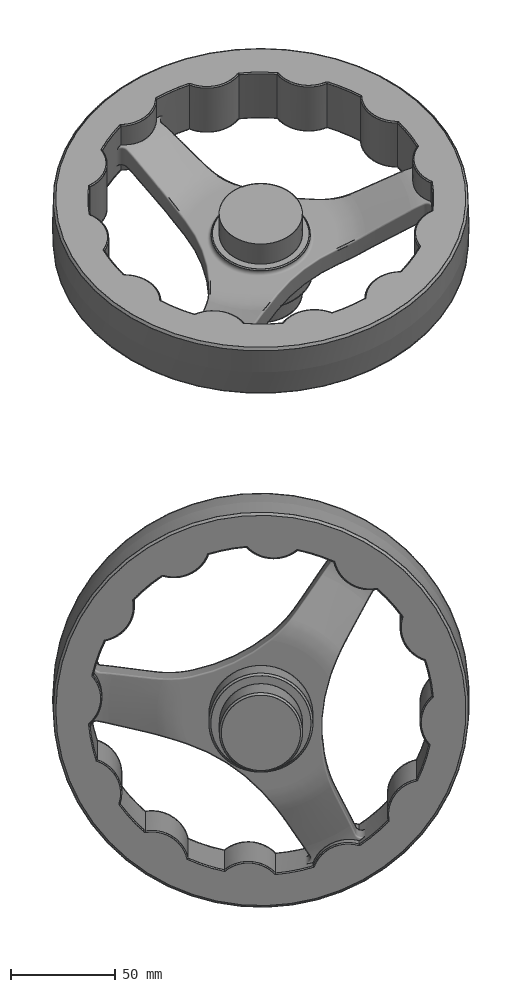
import cadquery as cq
import math

collar_bottom = 15.0
web_bottom = 28.0
rim_bottom = 35.0
rim_top = 67.0
hub_top = 42.0
plug_top = 56.0
rim_middle = (rim_bottom + rim_top) / 2

rim_radius = 100.0
rim_end_radius = 99.5
rim_chamfer = 1.2
valley_radius = 82.5
rim_inner_chamfer = 0.5

flute_count = 12
flute_pitch_radius = 188.5 / 2
flute_radius = 17.8

hub_radius = 47.5 / 2
hub_flare = 1.8
hub_chamfer = 0.5
collar_radius = 25.0
collar_chamfer = 1.0
pin_radius = 20.0
pin_chamfer = 1.0

spoke_count = 3
spoke_pitch = 360 / spoke_count
web_hub_thickness = 11.0
web_rim_thickness = 12.5
web_slope = 0.37
web_bend_inner_radius = 44.0
web_bend_outer_radius = 79.0
web_bend_fillet = 34.0
web_outer_radius = 86.0
web_edge_fillet = 0.8

opening_arc_radius = 175.5 / 2
opening_inner_reach = 29.5
opening_side_angle = math.degrees(math.atan(0.5))
opening_corner_radius = 3.0


def polar_point(radius, degrees):
    """Point at a distance and an angle from the wheel axis."""
    angle = math.radians(degrees)
    return (radius * math.cos(angle), radius * math.sin(angle))


def fluted_outline(height):
    """Closed outline of the rim's inner wall: valley arcs joined by inward bumps."""
    flute_pitch = 360 / flute_count
    corner_cosine = (valley_radius**2 + flute_pitch_radius**2 - flute_radius**2) / (
        2 * valley_radius * flute_pitch_radius
    )
    corner_angle = math.degrees(math.acos(corner_cosine))
    outline = cq.Workplane("XY", origin=(0, 0, height)).moveTo(*polar_point(valley_radius, -corner_angle))
    for i in range(flute_count):
        middle = i * flute_pitch
        flute_tip = polar_point(flute_pitch_radius - flute_radius, middle)
        outline = outline.threePointArc(flute_tip, polar_point(valley_radius, middle + corner_angle))
        valley_middle = polar_point(valley_radius, middle + flute_pitch / 2)
        next_corner = polar_point(valley_radius, middle + flute_pitch - corner_angle)
        outline = outline.threePointArc(valley_middle, next_corner)
    return outline.close()


def make_rim():
    """Tapered ring with a fluted inner wall, chamfered at both ends."""
    chamfer_radius = rim_end_radius - rim_chamfer
    blank = (
        cq.Workplane("XZ")
        .moveTo(0, rim_bottom)
        .lineTo(chamfer_radius, rim_bottom)
        .lineTo(rim_end_radius, rim_bottom + rim_chamfer)
        .lineTo(rim_radius, rim_middle)
        .lineTo(rim_end_radius, rim_top - rim_chamfer)
        .lineTo(chamfer_radius, rim_top)
        .lineTo(0, rim_top)
        .close()
        .revolve()
    )
    bore = fluted_outline(rim_bottom).extrude(rim_top - rim_bottom)
    top_flare = fluted_outline(rim_top - rim_inner_chamfer).extrude(rim_inner_chamfer, taper=-45)
    bottom_flare = top_flare.mirror("XY", (0, 0, rim_middle))
    return blank.cut(bore).cut(top_flare).cut(bottom_flare)


def make_opening():
    """Cutter for the gap between two spokes, on the +X side."""
    centre_x = opening_inner_reach + opening_arc_radius
    angle = math.radians(opening_side_angle)
    side_x = centre_x - opening_arc_radius * math.cos(angle)
    side_y = opening_arc_radius * math.sin(angle)
    end_x = side_x + rim_radius * math.sin(angle)
    end_y = side_y + rim_radius * math.cos(angle)
    wedge = (
        cq.Workplane("XY")
        .moveTo(end_x, -end_y)
        .lineTo(side_x, -side_y)
        .threePointArc((opening_inner_reach, 0), (side_x, side_y))
        .lineTo(end_x, end_y)
        .close()
        .extrude(rim_top)
    )
    disc = cq.Workplane("XY").circle(valley_radius).extrude(rim_top)
    opening = wedge.intersect(disc)
    corners = cq.selectors.BoxSelector((side_x + 2, -rim_radius, 0), (rim_radius, rim_radius, rim_top))
    return opening.edges("|Z").edges(corners).fillet(opening_corner_radius)


def make_web():
    """Dished disc cut into three spokes with rounded edges."""
    rise = web_slope * (web_bend_outer_radius - web_bend_inner_radius)
    hub_face = web_bottom + web_hub_thickness
    rim_face = web_bottom + rise + web_rim_thickness
    web = (
        cq.Workplane("XZ")
        .moveTo(0, web_bottom)
        .lineTo(web_bend_inner_radius, web_bottom)
        .lineTo(web_bend_outer_radius, web_bottom + rise)
        .lineTo(web_outer_radius, web_bottom + rise)
        .lineTo(web_outer_radius, rim_face)
        .lineTo(web_bend_outer_radius, rim_face)
        .lineTo(web_bend_inner_radius, hub_face)
        .lineTo(0, hub_face)
        .close()
        .revolve()
    )
    inner_bends = web.edges(cq.selectors.RadiusNthSelector(0)).vals()
    outer_bends = web.edges(cq.selectors.RadiusNthSelector(1)).vals()
    web = web.newObject(inner_bends + outer_bends).fillet(web_bend_fillet)
    for i in range(spoke_count):
        opening = make_opening().rotate((0, 0, 0), (0, 0, 1), i * spoke_pitch)
        web = web.cut(opening)
    for i in range(spoke_count):
        for face_height in (web_bottom, hub_face):
            edge_point = (*polar_point(opening_inner_reach, i * spoke_pitch), face_height)
            web = web.edges(cq.selectors.NearestToPointSelector(edge_point)).fillet(web_edge_fillet)
    return web


def make_wheel():
    """Rim, spokes and flared hub in one piece, bored for the plug."""
    hub_face = web_bottom + web_hub_thickness
    flare_top = hub_face + hub_flare
    hub = (
        cq.Workplane("XZ")
        .moveTo(0, web_bottom)
        .lineTo(hub_radius + hub_flare, web_bottom)
        .lineTo(hub_radius + hub_flare, hub_face)
        .radiusArc((hub_radius, flare_top), hub_flare)
        .lineTo(hub_radius, hub_top - hub_chamfer)
        .lineTo(hub_radius - hub_chamfer, hub_top)
        .lineTo(0, hub_top)
        .close()
        .revolve()
    )
    bore = cq.Workplane("XY").circle(pin_radius).extrude(hub_top)
    return make_rim().union(make_web()).union(hub).cut(bore)


def make_collar():
    """Ring under the hub, bored for the spigot."""
    ring = cq.Workplane("XY", origin=(0, 0, collar_bottom)).circle(collar_radius)
    ring = ring.extrude(web_bottom - collar_bottom).faces("<Z").chamfer(collar_chamfer)
    bore = cq.Workplane("XY").circle(pin_radius).extrude(hub_top)
    return ring.cut(bore)


def make_plug():
    """Round plug standing out of the top of the hub."""
    return cq.Workplane("XY", origin=(0, 0, web_bottom)).circle(pin_radius).extrude(plug_top - web_bottom)


def make_spigot():
    """Round spigot hanging out of the collar."""
    return cq.Workplane("XY").circle(pin_radius).extrude(web_bottom).faces("<Z").chamfer(pin_chamfer)


wheel = make_wheel()
collar = make_collar()
plug = make_plug()
spigot = make_spigot()

result = cq.Compound.makeCompound([wheel.val(), collar.val(), plug.val(), spigot.val()])